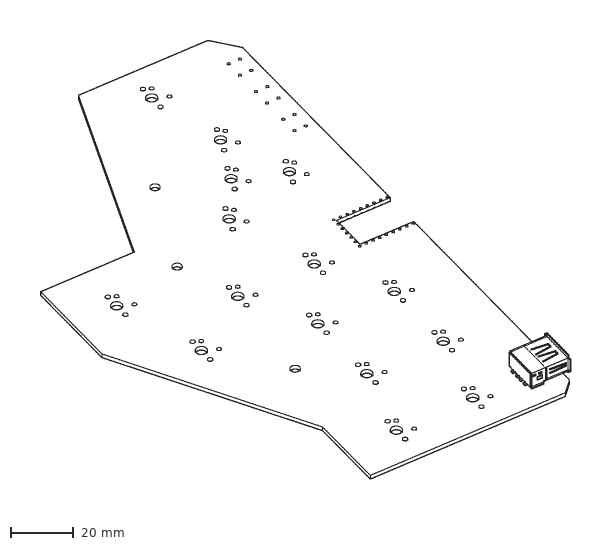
import cadquery as cq
import math

BOARD_X = 205.2
BOARD_Y = 118.2
BOARD_T = 1.6
CORNER_CUT_X = 8.8
CORNER_CUT_Y = 7.4
RIGHT_CUT = 4.5
LEFT_EDGE_LOW_Y = 61.8
NOTCH_CORNER = (73.5, 35.5)
FOOT_RIGHT_X = 109.5
RIGHT_EDGE_LOW = (177.3, 39.8)

MODULE_X = 102.5
SLOT_W = 13.8
SLOT_DEPTH = 20.3
MODULE_ROW_W = 15.2
MODULE_ROW_LEN = 20.3
MODULE_ROW_DROP = 0.6
MODULE_SIDE_HOLES = 9
MODULE_END_HOLES = 7
MODULE_HOLE_D = 0.8

KEY_PITCH_Y = 29.0
TILT = -20
SINGLE_KEYS = [
    (13.8, 80.7, 0),
    (42.7, 88.0, TILT),
    (60.3, 80.7, TILT),
    (67.5, 98.1, TILT),
    (76.4, 69.5, TILT),
    (125.2, 27.5, 0),
    (92.4, 16.6, 0),
]
KEY_COLUMNS = [(109.5, 80.5), (134.5, 94.6), (163.2, 94.6), (191.3, 87.6)]
KEY_POST_D = 4.0
KEY_SIDE_D = 1.7
KEY_SIDE_OFFSET = 5.1
KEY_PIN_D = 1.5
KEY_PINS = [(-4.0, 2.5), (2.5, 5.1)]

MOUNT_D = 3.3
MOUNT_POINTS = [(50.7, 58.0), (86.8, 43.0), (148.8, 47.8)]

BUTTON_COUNT = 3
BUTTON_FIRST = (13.1, 110.2)
BUTTON_PITCH = 16.0
BUTTON_HOLE_DX = 6.5
BUTTON_HOLE_DY = 4.3
BUTTON_HOLE_D = 1.0

USB_X = 191.5
SHELL_W = 13.0
SHELL_WALL = 0.3
SHELL_TOP = 8.2
SHELL_BOTTOM = 2.7
MOUTH_Y = 119.9
SHELL_REAR_Y = 105.7
PANEL_FRONT_Y = 111.0
FOOT_FRONT_Y = 110.5
RELIEF_W = 0.5

FLANGE_T = 0.5
FLANGE_TOP = 9.2
FLANGE_BOTTOM = 2.0
FLANGE_REACH = 1.0
FLANGE_SIDE_LOW = 3.0

SPRING_SLIT = 0.25
SPRING_LEN = 6.2
SPRING_TIP_W = 1.6
SPRING_ROOT_W = 3.0
TOP_SPRING_ROOT_Y = 111.9
TOP_SPRING_OFFSET = 2.0
SIDE_SPRING_ROOT_Y = 112.7
SIDE_SPRING_Z = 5.7
SIDE_SPRING_TIP_W = 1.2
SIDE_SPRING_ROOT_W = 1.8

WINDOW_Y = 108.8
WINDOW_L = 1.8
WINDOW_H = 1.2
WINDOW_Z = 5.0
PANEL_SLIT_Z = 6.8
PANEL_SLIT_H = 0.5
PANEL_SLIT_L = 1.2
PANEL_SLIT_YS = [109.0, 106.7]

LEG_Y = 109.5
LEG_W = 1.0
LEG_LENGTH = 2.0
LEG_BULGE = 1.0
LEG_BULGE_Z = -0.5

INSULATOR_REAR_Y = 105.3
INSULATOR_BOTTOM = 2.3
TAIL_W = 1.0
TAIL_REAR_Y = 104.7
TAIL_OFFSETS = [-3.5, -1.0, 1.0, 3.5]

HALF_W = SHELL_W / 2
INNER_HALF_W = HALF_W - SHELL_WALL
RELIEF_FRONT_Y = PANEL_FRONT_Y + RELIEF_W


def block(x0, x1, y0, y1, z0, z1):
    """Box between two opposite corners."""
    return cq.Workplane("XY").box(x1 - x0, y1 - y0, z1 - z0, centered=False).translate((x0, y0, z0))


def drill(board, points, diameter):
    """Round through holes in the board."""
    tool = cq.Workplane("XY").pushPoints(points).circle(diameter / 2).extrude(BOARD_T)
    return board.cut(tool)


def board_blank():
    slot_left = MODULE_X - SLOT_W / 2
    slot_right = MODULE_X + SLOT_W / 2
    slot_end = BOARD_Y - SLOT_DEPTH
    outline = [
        (0, LEFT_EDGE_LOW_Y),
        (0, BOARD_Y - CORNER_CUT_Y),
        (CORNER_CUT_X, BOARD_Y),
        (slot_left, BOARD_Y),
        (slot_left, slot_end),
        (slot_right, slot_end),
        (slot_right, BOARD_Y),
        (BOARD_X - RIGHT_CUT, BOARD_Y),
        (BOARD_X, BOARD_Y - RIGHT_CUT),
        (BOARD_X, RIGHT_EDGE_LOW[1]),
        RIGHT_EDGE_LOW,
        (FOOT_RIGHT_X, 0),
        (NOTCH_CORNER[0], 0),
        NOTCH_CORNER,
    ]
    return cq.Workplane("XY").polyline(outline).close().extrude(BOARD_T)


def module_hole_points():
    left = MODULE_X - MODULE_ROW_W / 2
    top = BOARD_Y - MODULE_ROW_DROP
    side_pitch = MODULE_ROW_LEN / (MODULE_SIDE_HOLES - 1)
    end_pitch = MODULE_ROW_W / (MODULE_END_HOLES - 1)
    points = []
    for i in range(MODULE_SIDE_HOLES):
        y = top - i * side_pitch
        points += [(left, y), (left + MODULE_ROW_W, y)]
    for i in range(1, MODULE_END_HOLES - 1):
        points.append((left + i * end_pitch, top - MODULE_ROW_LEN))
    return points


def key_places():
    keys = list(SINGLE_KEYS)
    for x, y in KEY_COLUMNS:
        keys += [(x, y, 0), (x, y - KEY_PITCH_Y, 0)]
    return keys


def place_on_key(key, points):
    """Board positions of points given relative to a key centre."""
    x, y, tilt = key
    cos = math.cos(math.radians(tilt))
    sin = math.sin(math.radians(tilt))
    return [(x + px * cos - py * sin, y + px * sin + py * cos) for px, py in points]


def drill_keys(board):
    sides = [(-KEY_SIDE_OFFSET, 0), (KEY_SIDE_OFFSET, 0)]
    for key in key_places():
        board = drill(board, place_on_key(key, [(0, 0)]), KEY_POST_D)
        board = drill(board, place_on_key(key, sides), KEY_SIDE_D)
        board = drill(board, place_on_key(key, KEY_PINS), KEY_PIN_D)
    return board


def button_hole_points():
    points = []
    for i in range(BUTTON_COUNT):
        x = BUTTON_FIRST[0] + i * BUTTON_PITCH
        for dx in (0, BUTTON_HOLE_DX):
            for dy in (0, BUTTON_HOLE_DY):
                points.append((x + dx, BUTTON_FIRST[1] + dy))
    return points


def make_board():
    board = board_blank()
    board = drill(board, module_hole_points(), MODULE_HOLE_D)
    board = drill_keys(board)
    board = drill(board, MOUNT_POINTS, MOUNT_D)
    board = drill(board, button_hole_points(), BUTTON_HOLE_D)
    for side in (-1, 1):
        leg_x = USB_X + side * (HALF_W + INNER_HALF_W) / 2
        leg_slot = cq.Workplane("XY").center(leg_x, LEG_Y).rect(SHELL_WALL, LEG_W).extrude(BOARD_T)
        board = board.cut(leg_slot)
    return board


def shell_walls():
    front = block(-HALF_W, HALF_W, RELIEF_FRONT_Y, MOUTH_Y, SHELL_BOTTOM, SHELL_TOP)
    rear = block(-HALF_W, HALF_W, SHELL_REAR_Y, PANEL_FRONT_Y, BOARD_T, SHELL_TOP)
    rear = rear.cut(block(-HALF_W, HALF_W, FOOT_FRONT_Y, PANEL_FRONT_Y, BOARD_T, SHELL_BOTTOM))
    bridge_bottom = SHELL_TOP - SHELL_WALL
    bridge = block(-HALF_W, HALF_W, PANEL_FRONT_Y, RELIEF_FRONT_Y, bridge_bottom, SHELL_TOP)
    front_cavity = block(
        -INNER_HALF_W, INNER_HALF_W, RELIEF_FRONT_Y, MOUTH_Y, SHELL_BOTTOM + SHELL_WALL, bridge_bottom
    )
    rear_cavity = block(-INNER_HALF_W, INNER_HALF_W, SHELL_REAR_Y, PANEL_FRONT_Y, BOARD_T, bridge_bottom)
    return front.cut(front_cavity).union(rear.cut(rear_cavity)).union(bridge)


def mouth_flanges():
    y0 = MOUTH_Y - FLANGE_T
    flanges = block(-HALF_W, HALF_W, y0, MOUTH_Y, SHELL_TOP - SHELL_WALL, FLANGE_TOP)
    flanges = flanges.union(block(-HALF_W, HALF_W, y0, MOUTH_Y, FLANGE_BOTTOM, SHELL_BOTTOM + SHELL_WALL))
    for x0, x1 in ((-HALF_W - FLANGE_REACH, -INNER_HALF_W), (INNER_HALF_W, HALF_W + FLANGE_REACH)):
        flanges = flanges.union(block(x0, x1, y0, MOUTH_Y, FLANGE_SIDE_LOW, SHELL_TOP))
    return flanges


def spring_slits(plane, tip_w, root_w, depth):
    """U-shaped slit around a tapered tongue; root at the origin, tip at +SPRING_LEN along local Y."""
    tip, root = tip_w / 2, root_w / 2
    outer = [(-root, 0), (-tip, SPRING_LEN), (tip, SPRING_LEN), (root, 0)]
    tongue_tip, tongue_root = tip - SPRING_SLIT, root - SPRING_SLIT
    tongue_len = SPRING_LEN - SPRING_SLIT
    tongue = [(-tongue_root, 0), (-tongue_tip, tongue_len), (tongue_tip, tongue_len), (tongue_root, 0)]
    opening = cq.Workplane(plane).polyline(outer).close().extrude(depth)
    return opening.cut(cq.Workplane(plane).polyline(tongue).close().extrude(depth))


def cut_springs(shell):
    for side in (-1, 1):
        top_root = (side * TOP_SPRING_OFFSET, TOP_SPRING_ROOT_Y, SHELL_TOP - SHELL_WALL)
        top_plane = cq.Plane(top_root, xDir=(1, 0, 0), normal=(0, 0, 1))
        shell = shell.cut(spring_slits(top_plane, SPRING_TIP_W, SPRING_ROOT_W, SHELL_WALL))
        side_root = (side * INNER_HALF_W, SIDE_SPRING_ROOT_Y, SIDE_SPRING_Z)
        side_plane = cq.Plane(side_root, xDir=(0, 0, -side), normal=(side, 0, 0))
        shell = shell.cut(spring_slits(side_plane, SIDE_SPRING_TIP_W, SIDE_SPRING_ROOT_W, SHELL_WALL))
    return shell


def panel_openings():
    """Window and slits that pass through both rear side panels."""
    tool = cq.Workplane("XY").box(SHELL_W, WINDOW_L, WINDOW_H).translate((0, WINDOW_Y, WINDOW_Z))
    for y in PANEL_SLIT_YS:
        slit = cq.Workplane("XY").box(SHELL_W, PANEL_SLIT_L, PANEL_SLIT_H)
        tool = tool.union(slit.translate((0, y, PANEL_SLIT_Z)))
    return tool


def snap_leg(side):
    """Leg through the board, kinked outwards below it."""
    profile = [
        (INNER_HALF_W, BOARD_T),
        (HALF_W, BOARD_T),
        (HALF_W, 0),
        (HALF_W + LEG_BULGE, LEG_BULGE_Z),
        (HALF_W, -LEG_LENGTH),
        (INNER_HALF_W, -LEG_LENGTH),
        (INNER_HALF_W + LEG_BULGE, LEG_BULGE_Z),
        (INNER_HALF_W, 0),
    ]
    points = [(side * x, z) for x, z in profile]
    leg = cq.Workplane("XZ").polyline(points).close().extrude(LEG_W / 2, both=True)
    return leg.translate((0, LEG_Y, 0))


def make_shell():
    shell = cut_springs(shell_walls().union(mouth_flanges()))
    shell = shell.cut(panel_openings())
    for side in (-1, 1):
        shell = shell.union(snap_leg(side))
    return shell.translate((USB_X, 0, 0))


def make_insulator():
    insulator = block(
        -INNER_HALF_W, INNER_HALF_W, INSULATOR_REAR_Y, PANEL_FRONT_Y, INSULATOR_BOTTOM, SHELL_TOP - SHELL_WALL
    )
    for x in TAIL_OFFSETS:
        tail = block(x - TAIL_W / 2, x + TAIL_W / 2, TAIL_REAR_Y, PANEL_FRONT_Y, BOARD_T, INSULATOR_BOTTOM)
        insulator = insulator.union(tail)
    return insulator.translate((USB_X, 0, 0))


board = make_board()
shell = make_shell()
insulator = make_insulator()

result = cq.Compound.makeCompound([board.val(), shell.val(), insulator.val()])